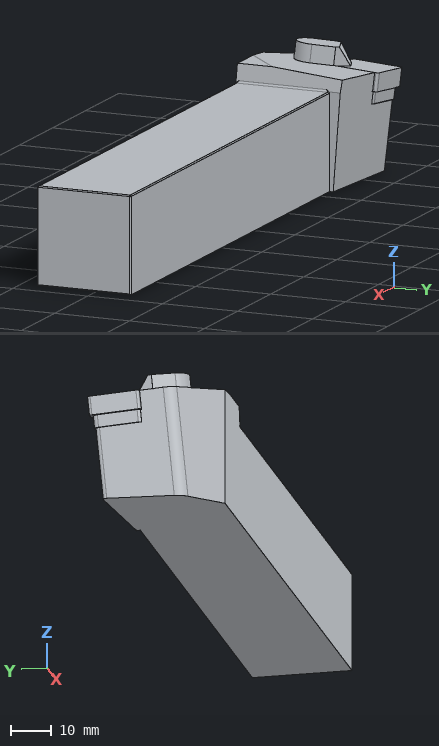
import cadquery as cq
import math

LENGTH = 150.0
SHANK_SIDE = 25.0
SHANK_CHAMFER = 0.3

HEAD_HEIGHT = 29.7
HEAD_END_X = 29.8
HEAD_TOP_END_X = 29.0
CORNER_X = 13.6
CORNER_RADIUS = 5.0
FOOT_RADIUS = 0.6

HINGE_X = 19.5
TILT = 6.7
FLANK_REACH = 60.0

TIP_X = -0.24
TIP_Y = 31.74
INSERT_SIDE = 12.9
INSERT_ANGLE = 80.0
LEAD_ANGLE = 5.0
INSERT_THICKNESS = 4.8
NOSE_RADIUS = 0.8
HEAD_TIP_RADIUS = 1.0
SHIM_THICKNESS = 3.2
SHIM_INSET = 0.6
SHIM_RADIUS = 1.2
HEAD_INSET = 0.9

CLAMP_X = 12.0
CLAMP_Y = 12.3
CLAMP_TURN = 20.0
CLAMP_HEIGHT = 4.6
CLAMP_HALF_WIDTH = 4.2
TAPER_START = 5.8
CLAMP_TOP_END = 6.8
CLAMP_TIP = 9.9
TIP_HALF_WIDTH = 2.0


def tilted(body):
    """Tilt a level body down towards the insert tip about the hinge line."""
    return body.rotate((HINGE_X, 0, HEAD_HEIGHT), (HINGE_X + 1.5, 1.5, HEAD_HEIGHT), -TILT)


def tip_point(along_back, along_left):
    """Level point reached from the insert tip by moving along its two edges."""
    lead = math.radians(LEAD_ANGLE)
    return (
        TIP_X + along_back * math.cos(lead) + along_left * math.sin(lead),
        TIP_Y - along_back * math.sin(lead) - along_left * math.cos(lead),
    )


def inset_along_edge(inset):
    """Travel along one edge that leaves the other edge by the given distance."""
    return inset / math.sin(math.radians(INSERT_ANGLE))


def rhombic_plate(inset, depth, thickness, corner_radius):
    """Insert-shaped plate, inset at the two exposed edges, top at the given depth."""
    start = inset_along_edge(inset)
    corners = [
        tip_point(start, start),
        tip_point(INSERT_SIDE, start),
        tip_point(INSERT_SIDE, INSERT_SIDE),
        tip_point(start, INSERT_SIDE),
    ]
    return (
        cq.Workplane("XY", origin=(0, 0, HEAD_HEIGHT - depth))
        .polyline(corners)
        .close()
        .extrude(-thickness)
        .edges("|Z")
        .fillet(corner_radius)
    )


def make_shank():
    """Square bar with its long top edges and its far end chamfered."""
    bar = cq.Workplane("XY").box(LENGTH - HEAD_END_X, SHANK_SIDE, SHANK_SIDE, centered=False)
    bar = bar.translate((HEAD_END_X, 0, 0))
    bar = bar.faces(">Z").edges("|X").chamfer(SHANK_CHAMFER)
    return bar.faces(">X").edges().chamfer(SHANK_CHAMFER)


def make_head():
    """Tilted prism with the flanks, trimmed to the upright outline of the head."""
    start = inset_along_edge(HEAD_INSET)
    tip = tip_point(start, start)
    back_end = tip_point(FLANK_REACH, start)
    lead = math.radians(LEAD_ANGLE)
    fall = (tip[0] + tip[1] - CORNER_X) / (math.cos(lead) - math.sin(lead))
    corner = tip_point(start, start + fall)
    front_end = (CORNER_X + FLANK_REACH, -FLANK_REACH)
    flanks = (
        cq.Workplane("XY", origin=(0, 0, HEAD_HEIGHT))
        .polyline([tip, back_end, front_end, corner])
        .close()
        .extrude(-FLANK_REACH)
        .edges(cq.selectors.NearestToPointSelector((*corner, HEAD_HEIGHT - FLANK_REACH / 2)))
        .fillet(CORNER_RADIUS)
        .edges(cq.selectors.NearestToPointSelector((*tip, HEAD_HEIGHT - FLANK_REACH / 2)))
        .fillet(HEAD_TIP_RADIUS)
    )
    upright = (
        cq.Workplane("XZ")
        .moveTo(-FLANK_REACH, 0)
        .lineTo(HEAD_END_X, 0)
        .lineTo(HEAD_END_X, SHANK_SIDE)
        .lineTo(HEAD_TOP_END_X, HEAD_HEIGHT)
        .lineTo(-FLANK_REACH, HEAD_HEIGHT)
        .close()
        .extrude(-FLANK_REACH)
    )
    return tilted(flanks).intersect(upright)


def make_clamp():
    """Round-ended finger whose tapered nose slopes down onto the insert."""
    plan = (
        cq.Workplane("XY")
        .moveTo(-CLAMP_HALF_WIDTH, 0)
        .threePointArc((0, -CLAMP_HALF_WIDTH), (CLAMP_HALF_WIDTH, 0))
        .lineTo(CLAMP_HALF_WIDTH, TAPER_START)
        .lineTo(TIP_HALF_WIDTH, CLAMP_TIP)
        .lineTo(-TIP_HALF_WIDTH, CLAMP_TIP)
        .lineTo(-CLAMP_HALF_WIDTH, TAPER_START)
        .close()
        .extrude(CLAMP_HEIGHT)
    )
    side = (
        cq.Workplane("YZ")
        .moveTo(-CLAMP_HALF_WIDTH, 0)
        .lineTo(CLAMP_TIP, 0)
        .lineTo(CLAMP_TOP_END, CLAMP_HEIGHT)
        .lineTo(-CLAMP_HALF_WIDTH, CLAMP_HEIGHT)
        .close()
        .extrude(CLAMP_HALF_WIDTH, both=True)
    )
    clamp = plan.intersect(side).rotate((0, 0, 0), (0, 0, 1), CLAMP_TURN)
    return tilted(clamp.translate((CLAMP_X, CLAMP_Y, HEAD_HEIGHT)))


def make_insert():
    return tilted(rhombic_plate(0, 0, INSERT_THICKNESS, NOSE_RADIUS))


def make_holder(insert):
    """Shank, head, shim and clamp in one solid, with a pocket that fits the insert."""
    shim = tilted(rhombic_plate(SHIM_INSET, INSERT_THICKNESS, SHIM_THICKNESS, SHIM_RADIUS))
    foot = (HEAD_END_X, SHANK_SIDE / 2, SHANK_SIDE)
    body = (
        make_shank()
        .union(make_head())
        .edges(cq.selectors.NearestToPointSelector(foot))
        .fillet(FOOT_RADIUS)
    )
    return body.cut(insert).union(shim).union(make_clamp())


insert = make_insert()
holder = make_holder(insert)
result = cq.Compound.makeCompound([holder.val(), insert.val()])